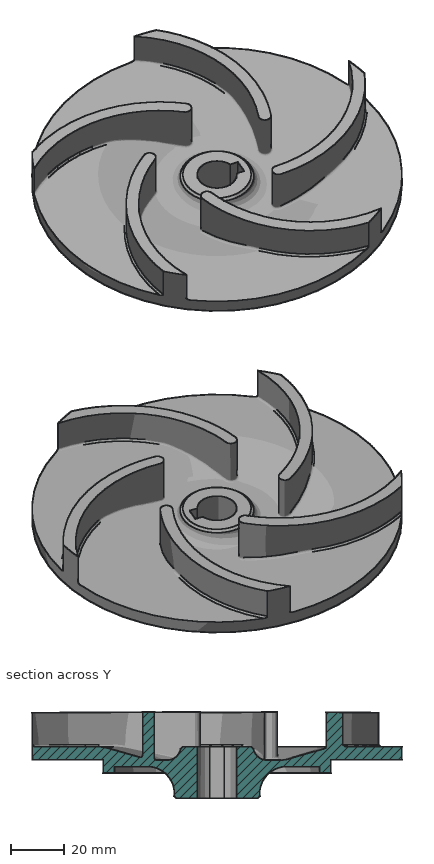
import cadquery as cq
import math

vane_height = 13.0
plate_thickness = 5.0
ring_height = 5.0
overall_height = 32.44
bowl_depth = 5.0
recess_depth = 2.4
plate_bottom = -plate_thickness
ring_bottom = plate_bottom - ring_height
hub_bottom = vane_height - overall_height

rim_radius = 138.68 / 2
bowl_rim_radius = 85.62 / 2
bowl_floor_radius = 25.3
bowl_rim_round = 12.8
bowl_floor_round = 11.0
ring_outer_radius = bowl_rim_radius
ring_inner_radius = 76.9 / 2

upper_hub_radius = 13.7
upper_hub_chamfer = 0.9
lower_hub_radius = 16.1
lower_hub_round = 10.0
lower_hub_chamfer = 0.8
bore_radius = 7.4
keyway_width = 5.5
keyway_top = 10.0

vane_count = 5
vane_thickness = 4.7
vane_arc_center = (-32.7, 16.2)
vane_arc_radius = 53.0
vane_rim_drop = 0.3
vane_tip_radius = 24.0
vane_tip_angle = -0.6
vane_outer_angle = 90.0
vane_root_round = 0.75

clearance = 5.0
tolerance = 1e-3


def circles_of_radius(radius):
    """Return an edge test that accepts full circles of the given radius."""
    return lambda edge: edge.geomType() == "CIRCLE" and abs(edge.radius() - radius) < tolerance


def round_about(center_radius, center_height, radius):
    """Return the points of a concave hub round by angle; zero faces the axis, positive angles lie above."""
    return lambda angle: (
        center_radius - radius * math.cos(angle),
        center_height + radius * math.sin(angle),
    )


def make_blank():
    """Plate, ring and lower hub, with solid stock up to the top of the vanes."""
    recess_top = ring_bottom + recess_depth
    chamfer_top = hub_bottom + lower_hub_chamfer
    round_center_height = recess_top - lower_hub_round
    round_end = math.asin((chamfer_top - round_center_height) / lower_hub_round)
    round_point = round_about(lower_hub_radius + lower_hub_round, round_center_height, lower_hub_round)
    hub_edge_radius = round_point(round_end)[0]
    return (
        cq.Workplane("XZ")
        .moveTo(0, vane_height)
        .lineTo(vane_tip_radius, vane_height)
        .lineTo(rim_radius, vane_height - vane_rim_drop)
        .lineTo(rim_radius, plate_bottom)
        .lineTo(ring_outer_radius, plate_bottom)
        .lineTo(ring_outer_radius, ring_bottom)
        .lineTo(ring_inner_radius, ring_bottom)
        .lineTo(ring_inner_radius, recess_top)
        .lineTo(*round_point(math.pi / 2))
        .threePointArc(round_point((round_end + math.pi / 2) / 2), round_point(round_end))
        .lineTo(hub_edge_radius - lower_hub_chamfer, hub_bottom)
        .lineTo(0, hub_bottom)
        .close()
        .revolve(360, (0, 0, 0), (0, 1, 0))
    )


def make_flow_space():
    """Open space above the plate, the bowl and the upper hub."""
    round_start = -math.asin(upper_hub_chamfer / bowl_depth)
    round_point = round_about(upper_hub_radius + bowl_depth, 0, bowl_depth)
    space = (
        cq.Workplane("XZ")
        .moveTo(0, 0)
        .lineTo(upper_hub_radius - upper_hub_chamfer, 0)
        .lineTo(*round_point(round_start))
        .threePointArc(round_point((round_start - math.pi / 2) / 2), round_point(-math.pi / 2))
        .lineTo(bowl_floor_radius, -bowl_depth)
        .lineTo(bowl_rim_radius, 0)
        .lineTo(rim_radius + clearance, 0)
        .lineTo(rim_radius + clearance, vane_height + clearance)
        .lineTo(0, vane_height + clearance)
        .close()
        .revolve(360, (0, 0, 0), (0, 1, 0))
    )
    space = space.edges().filter(circles_of_radius(bowl_rim_radius)).fillet(bowl_rim_round)
    return space.edges().filter(circles_of_radius(bowl_floor_radius)).fillet(bowl_floor_round)


def vane_point(radius, angle):
    """Point at a radius and angle about the centre of the vane arc."""
    turn = math.radians(angle)
    return (
        vane_arc_center[0] + radius * math.cos(turn),
        vane_arc_center[1] + radius * math.sin(turn),
    )


def make_vane():
    """One vane, running past the rim, below the bowl and above the finished vane tops."""
    outer_radius = vane_arc_radius + vane_thickness / 2
    inner_radius = vane_arc_radius - vane_thickness / 2
    middle_angle = (vane_tip_angle + vane_outer_angle) / 2
    tip_overhang = math.degrees(vane_thickness / 2 / vane_arc_radius)
    vane_bottom = -bowl_depth - clearance
    return (
        cq.Workplane("XY", origin=(0, 0, vane_bottom))
        .moveTo(*vane_point(outer_radius, vane_outer_angle))
        .threePointArc(vane_point(outer_radius, middle_angle), vane_point(outer_radius, vane_tip_angle))
        .threePointArc(
            vane_point(vane_arc_radius, vane_tip_angle - tip_overhang),
            vane_point(inner_radius, vane_tip_angle),
        )
        .threePointArc(vane_point(inner_radius, middle_angle), vane_point(inner_radius, vane_outer_angle))
        .close()
        .extrude(vane_height + clearance - vane_bottom)
    )


def is_vane_root(edge):
    """Accept edges near the plate surface that do not circle the Z axis."""
    box = edge.BoundingBox()
    if box.zmax > vane_height / 2 or box.zmin < -bowl_depth - vane_root_round:
        return False
    samples = edge.positions([0, 0.3, 0.7, 1])
    radii = [math.hypot(point.x, point.y) for point in samples]
    circles_the_axis = max(radii) - min(radii) < tolerance
    return not circles_the_axis


def cut_bore(body):
    """Shaft bore with a keyway towards +Y, through the whole hub."""
    bore = cq.Workplane("XY", origin=(0, 0, hub_bottom)).circle(bore_radius).extrude(overall_height)
    keyway = (
        cq.Workplane("XY", origin=(0, keyway_top / 2, hub_bottom))
        .rect(keyway_width, keyway_top)
        .extrude(overall_height)
    )
    return body.cut(bore).cut(keyway)


flow_space = make_flow_space()
vane = make_vane()
for index in range(vane_count):
    flow_space = flow_space.cut(vane.rotate((0, 0, 0), (0, 0, 1), index * 360 / vane_count))

impeller = make_blank().cut(flow_space)
impeller = impeller.edges().filter(is_vane_root).fillet(vane_root_round)
result = cut_bore(impeller)